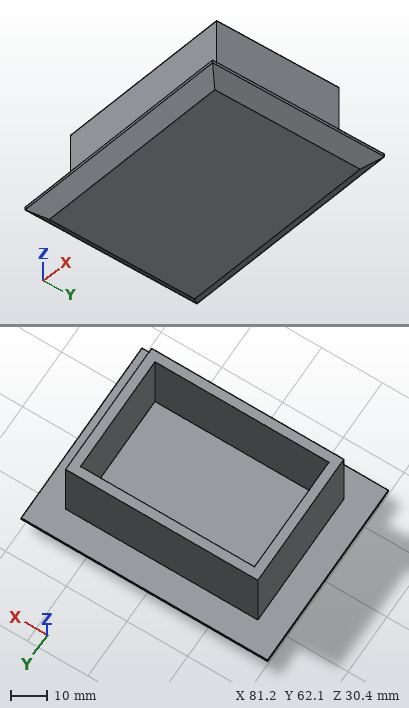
import cadquery as cq

flange_length = 81.15
flange_width = 62.1
flange_thickness = 5.0
rim_height = 1.0
taper_height = flange_thickness - rim_height
taper_inset = 4.8

total_height = 30.4
flange_border = 8.9
box_length = flange_length - 2 * flange_border
box_width = flange_width - 2 * flange_border
wall = 3.0
floor_height = flange_thickness


def block(length, width, bottom, top):
    """Upright block centred on the Z axis."""
    return cq.Workplane("XY").workplane(offset=bottom).rect(length, width).extrude(top - bottom)


def tapered_underside():
    """Flange base that widens from the bottom face up to the rim."""
    return (
        cq.Workplane("XY")
        .rect(flange_length - 2 * taper_inset, flange_width - 2 * taper_inset)
        .workplane(offset=taper_height)
        .rect(flange_length, flange_width)
        .loft(ruled=True)
    )


rim = block(flange_length, flange_width, taper_height, flange_thickness)
box = block(box_length, box_width, taper_height, total_height)
cavity = block(box_length - 2 * wall, box_width - 2 * wall, floor_height, total_height)

result = tapered_underside().union(rim).union(box).cut(cavity)